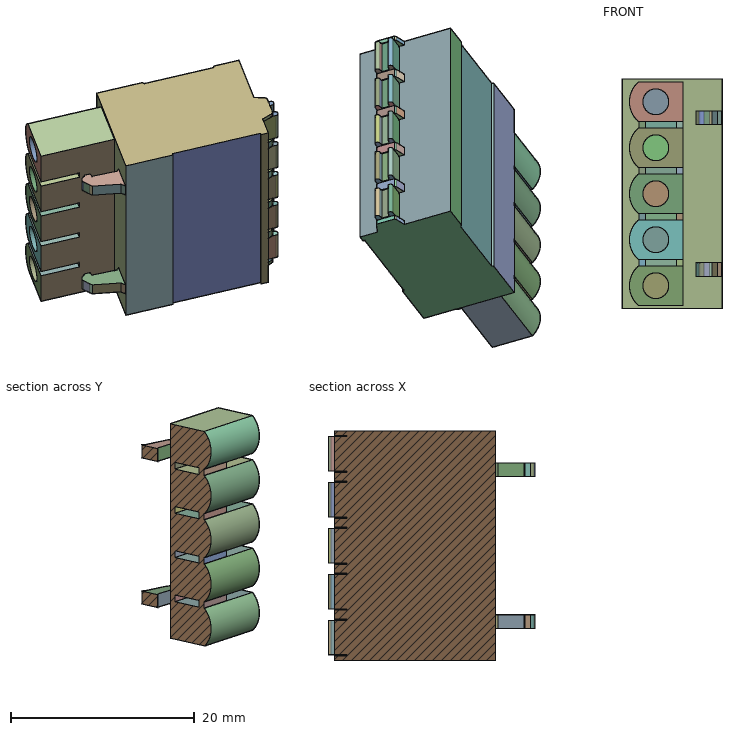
import cadquery as cq
import math


poles = 5
width = 10.9
height = 25.0
overall_length = 26.5
pitch = height / poles

recess_depth = 0.2
recess_front = 5.2
left_recess_back_margin = 2.84
right_recess_back_margin = 0.82

barrel_length = 8.32
barrel_height = 4.3
barrel_right = 6.6
barrel_radius = 2.85
bore_center_x = 3.65
bore_diameter = 2.8
bore_depth = 1.3

web_length = 3.98
web_thickness = 0.72
web_left = 1.83

latch_stem_x = 8.48
latch_root_flare = 0.26
latch_neck_x = 8.4
latch_neck_y = -3.07
latch_catch_x = 8.0
latch_catch_top = -3.18
latch_catch_bottom = -3.8
latch_tip_x = 8.65
latch_tip_y = -4.3
latch_tip_half = 0.26
latch_tip_rise = 0.1
latch_ramp_x = 9.51
latch_ramp_y = -3.68
latch_ramp_bevel = 0.25
latch_back_x = 10.4
latch_back_flare = 0.4
latch_height = 1.5
latch_spacing = 16.5

ridge_center_x = 7.18
ridge_foot_half = 1.62
ridge_shoulder_half = 1.22
ridge_top_half = 1.05
ridge_shoulder_height = 1.1
ridge_height = 1.32
tab_height = 3.75
tab_depth = 2.0
tab_ridge_gap = 0.1
prong_tip_inner_half = 0.5
prong_root_inner_half = 0.42

depth = overall_length - barrel_length - tab_depth


def extrude_up(profile, bottom, thickness):
    """Extrude a closed XY outline upward from the given height."""
    return profile.extrude(thickness).translate((0, 0, bottom))


def make_housing():
    left_back = depth - left_recess_back_margin
    right_back = depth - right_recess_back_margin
    recess_right_x = width - recess_depth
    outline = [
        (0, 0),
        (width, 0),
        (width, recess_front + recess_depth),
        (recess_right_x, recess_front + recess_depth),
        (recess_right_x, right_back),
        (width, right_back),
        (width, depth),
        (0, depth),
        (0, left_back),
        (recess_depth, left_back - recess_depth),
        (recess_depth, recess_front + recess_depth),
        (0, recess_front),
    ]
    return extrude_up(cq.Workplane("XY").polyline(outline).close(), 0, height)


def make_barrel(center_z):
    """Flat-sided barrel whose left side is an arc around the bore axis."""
    half = barrel_height / 2
    arc_end_x = bore_center_x - math.sqrt(barrel_radius**2 - half**2)
    barrel = (
        cq.Workplane("XZ")
        .moveTo(barrel_right, -half)
        .lineTo(barrel_right, half)
        .lineTo(arc_end_x, half)
        .threePointArc((bore_center_x - barrel_radius, 0), (arc_end_x, -half))
        .close()
        .extrude(barrel_length)
    )
    bore = (
        cq.Workplane("XZ", origin=(0, bore_depth - barrel_length, 0))
        .center(bore_center_x, 0)
        .circle(bore_diameter / 2)
        .extrude(bore_depth)
    )
    return barrel.cut(bore).translate((0, 0, center_z))


def make_web(left_x):
    """One web over the full barrel row; the barrels hide all but the gaps."""
    row_height = height - pitch
    web = cq.Workplane("XY").box(web_thickness, web_length, row_height, centered=False)
    return web.translate((left_x, -web_length, pitch / 2))


def make_latch(center_z):
    """Hook reaching forward, with its catch facing the barrels."""
    tip_arc_y = latch_tip_y + latch_tip_rise
    outline = (
        cq.Workplane("XY")
        .moveTo(latch_stem_x - latch_root_flare, 0)
        .lineTo(latch_stem_x, -latch_root_flare)
        .lineTo(latch_neck_x, latch_neck_y)
        .lineTo(latch_catch_x, latch_catch_top)
        .lineTo(latch_catch_x, latch_catch_bottom)
        .lineTo(latch_tip_x - latch_tip_half, tip_arc_y)
        .threePointArc((latch_tip_x, latch_tip_y), (latch_tip_x + latch_tip_half, tip_arc_y))
        .lineTo(latch_ramp_x, latch_ramp_y)
        .lineTo(latch_ramp_x + latch_ramp_bevel, latch_ramp_y + latch_ramp_bevel)
        .lineTo(latch_back_x, -latch_back_flare)
        .lineTo(latch_back_x + latch_back_flare, 0)
        .close()
    )
    return extrude_up(outline, center_z - latch_height / 2, latch_height)


def make_ridge_segment(bottom, top):
    outline = [
        (-ridge_foot_half, 0),
        (ridge_foot_half, 0),
        (ridge_shoulder_half, ridge_shoulder_height),
        (ridge_top_half, ridge_height),
        (-ridge_top_half, ridge_height),
        (-ridge_shoulder_half, ridge_shoulder_height),
    ]
    profile = cq.Workplane("XY").polyline(outline).close()
    return extrude_up(profile, bottom, top - bottom).translate((ridge_center_x, depth, 0))


def make_tab(center_z):
    """Block with two round-tipped prongs."""
    tip_radius = (ridge_top_half - prong_tip_inner_half) / 2
    tip_center = ridge_top_half - tip_radius
    tip_base = tab_depth - tip_radius
    profile = (
        cq.Workplane("XY")
        .moveTo(-ridge_top_half, 0)
        .lineTo(ridge_top_half, 0)
        .lineTo(ridge_top_half, tip_base)
        .threePointArc((tip_center, tab_depth), (prong_tip_inner_half, tip_base))
        .lineTo(prong_root_inner_half, ridge_height)
        .lineTo(-prong_root_inner_half, ridge_height)
        .lineTo(-prong_tip_inner_half, tip_base)
        .threePointArc((-tip_center, tab_depth), (-ridge_top_half, tip_base))
        .close()
    )
    tab = extrude_up(profile, center_z - tab_height / 2, tab_height)
    return tab.translate((ridge_center_x, depth, 0))


result = make_housing()

for web_x in (web_left, barrel_right - web_thickness):
    result = result.union(make_web(web_x))

for pole in range(poles):
    pole_z = (pole + 0.5) * pitch
    result = result.union(make_barrel(pole_z)).union(make_tab(pole_z))

segment_half = (pitch - tab_height) / 2 - tab_ridge_gap
for boundary in range(poles + 1):
    boundary_z = boundary * pitch
    segment_bottom = max(boundary_z - segment_half, 0)
    segment_top = min(boundary_z + segment_half, height)
    result = result.union(make_ridge_segment(segment_bottom, segment_top))

for side in (-1, 1):
    result = result.union(make_latch(height / 2 + side * latch_spacing / 2))